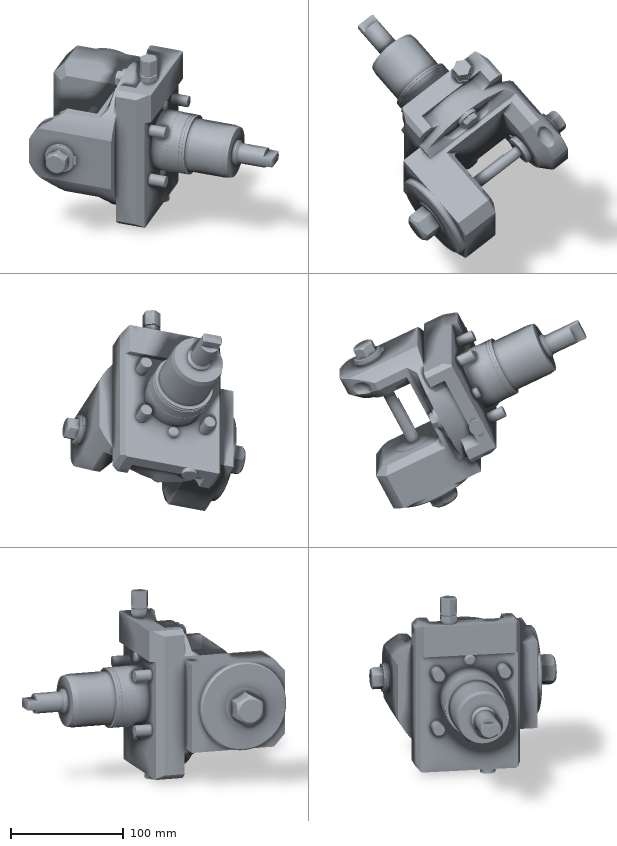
import cadquery as cq
import math


half_height = 40.2
disc_radius = 64.8
fork_outer_y = -60.0
web_face_x = -19.3
step_x = -15.0
disc_face_x = -8.0
arbor_x = -47.5

plate_half_width = 47.5
plate_half_height = 68.2
plate_corner = 4.5
plate_thickness = 26.0
pad_thickness = 31.0
side_bevel_start = 19.0
side_bevel_inset = 5.5
notch_half_width = 34.0
notch_depth_z = 8.5
notch_corner = 10.0
notch_depth_x = 14.0

recess_half_width = 26.0
recess_floor_x = -7.5
recess_bottom_z = 41.3
recess_corner = 9.0
bolt_z = 54.6

big_arm_left = -88.0
big_arm_right = -0.5
big_arm_inner_y = 26.9
big_arm_outer_y = 66.8
end_corner_x = 10.2
end_corner_z = 11.0
inner_bevel_y = 5.5
inner_bevel_face = 9.0
web_fillet = 7.8
cover_clearance = 26.5

small_arm_left = -77.7
small_arm_inner_y = -32.9
small_arm_bevel = 10.2
small_arm_end_radius = 32.6
bolt_pocket_y = -48.0
bolt_pocket_z = 30.2
bolt_pocket_radius = 6.5


def box(x0, x1, y0, y1, z0, z1):
    return cq.Workplane("XY").box(x1 - x0, y1 - y0, z1 - z0, centered=False).translate((x0, y0, z0))


def rod_x(radius, x0, x1, y=0, z=0):
    return cq.Workplane("YZ", origin=(x0, y, z)).circle(radius).extrude(x1 - x0)


def rod_y(radius, y0, y1):
    """Cylinder on the arbor axis."""
    return cq.Workplane("XZ", origin=(arbor_x, y0, 0)).circle(radius).extrude(y0 - y1)


def rod_z(radius, z0, z1, x, y):
    return cq.Workplane("XY", origin=(x, y, z0)).circle(radius).extrude(z1 - z0)


def with_mirror(shape):
    """Shape together with its mirror image below the spindle axis."""
    return shape.union(shape.mirror("XY"))


def hex_prism(plane, origin, across_flats, length, turn):
    """Hexagon standing on a plane, turned by an angle in degrees about its own axis."""
    corner_diameter = across_flats / math.cos(math.radians(30))
    return (cq.Workplane(plane, origin=origin).transformed(rotate=(0, 0, turn))
            .polygon(6, corner_diameter).extrude(length))


def chamfered_hex(plane, origin, across_flats, length, end_face, cone_drop):
    """Hexagon with corners up and down, its free end turned down to a 45 degree cone."""
    corner_radius = across_flats / 2 / math.cos(math.radians(30))
    blank = cq.Workplane(plane, origin=origin).circle(corner_radius).extrude(length)
    blank = blank.faces(end_face).chamfer(cone_drop)
    return hex_prism(plane, origin, across_flats, length, 90).intersect(blank)


def make_plate():
    plate = (cq.Workplane("YZ").rect(2 * plate_half_width, 2 * plate_half_height)
             .extrude(pad_thickness).edges("|X").chamfer(plate_corner))
    plan = (cq.Workplane("XY", origin=(0, 0, -plate_half_height))
            .moveTo(0, plate_half_width)
            .lineTo(side_bevel_start, plate_half_width)
            .lineTo(pad_thickness, plate_half_width - side_bevel_inset)
            .lineTo(pad_thickness, -plate_half_width + side_bevel_inset)
            .lineTo(side_bevel_start, -plate_half_width)
            .lineTo(0, -plate_half_width)
            .close().extrude(2 * plate_half_height))
    plate = plate.intersect(plan)
    plate = plate.cut(box(plate_thickness, pad_thickness, -plate_half_width, plate_half_width,
                          -plate_half_height, half_height))
    base_round = rod_x(disc_radius, 0, notch_depth_x)
    notch_floor_z = plate_half_height - notch_depth_z
    notch_top_z = plate_half_height + notch_corner
    notch = box(0, notch_depth_x, -notch_half_width, notch_half_width, notch_floor_z, notch_top_z)
    notch = notch.edges("|X").edges("<Z").fillet(notch_corner).cut(base_round)
    return plate.cut(with_mirror(notch))


def make_round_base():
    """Round base with the web step and 45 degree shoulders, cut flat on both sides."""
    shoulder_z = half_height + disc_face_x - step_x
    side_profile = (cq.Workplane("XZ", origin=(0, plate_half_width, 0))
                    .moveTo(0, disc_radius)
                    .lineTo(disc_face_x, disc_radius)
                    .lineTo(disc_face_x, shoulder_z)
                    .lineTo(step_x, half_height)
                    .lineTo(web_face_x, half_height)
                    .lineTo(web_face_x, 0)
                    .lineTo(0, 0)
                    .close().extrude(plate_half_width - fork_outer_y))
    base = with_mirror(side_profile).intersect(rod_x(disc_radius, web_face_x, 0))
    recess_top_z = plate_half_height + recess_corner
    recess = box(web_face_x, recess_floor_x, -recess_half_width, recess_half_width,
                 recess_bottom_z, recess_top_z).edges("|X").fillet(recess_corner)
    return base.cut(with_mirror(recess))


def make_big_arm():
    arm = (cq.Workplane("XZ", origin=(0, big_arm_outer_y, 0))
           .moveTo(big_arm_right, half_height)
           .lineTo(big_arm_left + end_corner_x, half_height)
           .lineTo(big_arm_left, half_height - end_corner_z)
           .lineTo(big_arm_left, -half_height + end_corner_z)
           .lineTo(big_arm_left + end_corner_x, -half_height)
           .lineTo(big_arm_right, -half_height)
           .close().extrude(big_arm_outer_y - big_arm_inner_y))
    inner_edges = arm.faces("<Y").edges().filter(lambda edge: edge.Center().x < web_face_x)
    arm = inner_edges.chamfer(inner_bevel_y, inner_bevel_face)
    root_y = big_arm_inner_y - web_fillet
    arc_inset = web_fillet * (1 - math.cos(math.radians(45)))
    fillet = (cq.Workplane("XY", origin=(0, 0, -half_height))
              .moveTo(web_face_x - web_fillet, big_arm_inner_y)
              .threePointArc((web_face_x - arc_inset, big_arm_inner_y - arc_inset), (web_face_x, root_y))
              .lineTo(step_x, root_y)
              .lineTo(step_x, big_arm_inner_y + inner_bevel_y)
              .lineTo(web_face_x - web_fillet, big_arm_inner_y + inner_bevel_y)
              .close().extrude(2 * half_height))
    face_z = half_height - inner_bevel_face
    root_z = face_z - web_fillet * inner_bevel_face / inner_bevel_y
    trim = (cq.Workplane("YZ", origin=(web_face_x - web_fillet, 0, 0))
            .moveTo(big_arm_inner_y + inner_bevel_y, half_height)
            .lineTo(root_y, root_z)
            .lineTo(root_y, -root_z)
            .lineTo(big_arm_inner_y + inner_bevel_y, -half_height)
            .close().extrude(step_x - web_face_x + web_fillet))
    web_end = box(web_face_x, big_arm_right, big_arm_inner_y, plate_half_width, -half_height, half_height)
    fillet = fillet.intersect(trim).cut(rod_y(cover_clearance, root_y, big_arm_inner_y))
    return arm.union(web_end).union(fillet)


def make_small_arm():
    slope = math.acos(small_arm_end_radius / half_height)
    tangent_x = arbor_x - small_arm_end_radius * math.sin(slope)
    tangent_z = small_arm_end_radius * math.cos(slope)
    arm = (cq.Workplane("XZ", origin=(0, small_arm_inner_y, 0))
           .moveTo(web_face_x, half_height)
           .lineTo(arbor_x, half_height)
           .lineTo(tangent_x, tangent_z)
           .threePointArc((arbor_x - small_arm_end_radius, 0), (tangent_x, -tangent_z))
           .lineTo(arbor_x, -half_height)
           .lineTo(web_face_x, -half_height)
           .close().extrude(small_arm_inner_y - fork_outer_y))
    inner_edges = arm.faces(">Y").edges().filter(lambda edge: edge.Center().x < web_face_x - small_arm_bevel)
    arm = inner_edges.chamfer(small_arm_bevel)
    arm = arm.intersect(rod_x(disc_radius, small_arm_left, web_face_x))
    pocket = rod_x(bolt_pocket_radius, small_arm_left, web_face_x, bolt_pocket_y, bolt_pocket_z)
    return arm.cut(with_mirror(pocket))


def make_flange_bolts():
    washer_radius = 9.5
    washer_face_x = -10.7
    head_flats = 13.0
    head_height = 5.3
    head_edge = 1.3
    washer = rod_x(washer_radius, washer_face_x, recess_floor_x, 0, bolt_z)
    head = chamfered_hex("YZ", (washer_face_x, 0, bolt_z), head_flats, -head_height, "<X", head_edge)
    return with_mirror(washer.union(head))


def make_arbor():
    """Arbor across the fork with its key, end nut, bearing cover, bushings and bolt head."""
    shaft_radius = 5.0
    cover_top_y = 72.5
    cover_edge = 1.3
    washer_radius = 17.5
    washer_top_y = 73.5
    nut_top_y = 91.0
    nut_flats = 24.5
    nut_edge = 3.5
    inner_ring_y = 26.5
    bushing_radius = 12.9
    bushing_inner_y = -27.3
    bushing_outer_y = -65.7
    snap_ring_radius = 13.8
    snap_ring_width = 1.0
    snap_ring_starts = (-63.7, -30.9)
    snap_ring_ear_x = 15.3
    snap_ring_ear_z = 4.0
    head_flats = 17.8
    head_edge = 1.8
    head_end_y = -75.5
    key_reach = 6.0
    key_half_width = 1.3
    key_end_y = -15.5

    arbor = rod_y(shaft_radius, bushing_inner_y, big_arm_inner_y)
    arbor = arbor.union(box(arbor_x, arbor_x + key_reach, key_end_y, big_arm_inner_y,
                            -key_half_width, key_half_width))
    arbor = arbor.union(rod_y(washer_radius, inner_ring_y, big_arm_inner_y))
    cover = rod_y(half_height, big_arm_outer_y, cover_top_y).faces(">Y").chamfer(cover_edge)
    arbor = arbor.union(cover).union(rod_y(washer_radius, cover_top_y, washer_top_y))
    arbor = arbor.union(chamfered_hex("XZ", (arbor_x, washer_top_y, 0), nut_flats,
                                      washer_top_y - nut_top_y, ">Y", nut_edge))
    arbor = arbor.union(rod_y(bushing_radius, bushing_outer_y, bushing_inner_y))
    arbor = arbor.union(chamfered_hex("XZ", (arbor_x, bushing_outer_y, 0), head_flats,
                                      bushing_outer_y - head_end_y, "<Y", head_edge))
    for ring_y in snap_ring_starts:
        arbor = arbor.union(rod_y(snap_ring_radius, ring_y, ring_y + snap_ring_width))
        arbor = arbor.union(box(arbor_x, arbor_x + snap_ring_ear_x, ring_y, ring_y + snap_ring_width,
                                -snap_ring_ear_z, snap_ring_ear_z))
    return arbor


def make_spindle():
    """Flange, sleeve, collar and drive shaft turned about X, with a flat drive tang."""
    housing_radius = 27.3
    housing_end = 41.0
    flange_radius = 27.0
    flange_end = 56.8
    sleeve_radius = 24.0
    sleeve_end = 96.5
    sleeve_taper_length = 5.3
    sleeve_taper = 1.0
    collar_radius = 11.3
    collar_end = 101.0
    collar_taper = 2.0
    shaft_radius = 9.0
    shaft_end = 125.5
    tang_end = 134.0
    tang_half_thickness = 4.2
    tang_edge = 0.7
    groove_depth = 0.7
    groove_width = 1.0
    groove_starts = (51.3, 54.2)

    spindle = (cq.Workplane("XY").moveTo(0, 0)
               .lineTo(0, housing_radius)
               .lineTo(housing_end, housing_radius)
               .lineTo(housing_end, flange_radius)
               .lineTo(flange_end, flange_radius)
               .lineTo(flange_end, sleeve_radius)
               .lineTo(sleeve_end - sleeve_taper_length, sleeve_radius)
               .lineTo(sleeve_end, sleeve_radius - sleeve_taper)
               .lineTo(sleeve_end, collar_radius)
               .lineTo(collar_end - collar_taper, collar_radius)
               .lineTo(collar_end, collar_radius - collar_taper)
               .lineTo(collar_end, shaft_radius)
               .lineTo(tang_end - tang_edge, shaft_radius)
               .lineTo(tang_end, shaft_radius - tang_edge)
               .lineTo(tang_end, 0)
               .close().revolve(360, (0, 0, 0), (1, 0, 0)))
    for groove_start in groove_starts:
        groove_end = groove_start + groove_width
        core = rod_x(flange_radius - groove_depth, groove_start, groove_end)
        spindle = spindle.cut(rod_x(housing_radius, groove_start, groove_end).cut(core))
    tang_waste = box(shaft_end, tang_end, -shaft_radius, shaft_radius, tang_half_thickness, shaft_radius)
    return spindle.cut(with_mirror(tang_waste))


def make_back_studs():
    """Four posts around the spindle flange and two short pins on its centre line."""
    post_y = 30.0
    post_z = 25.0
    post_radius = 5.0
    post_end = 41.0
    pin_z = 35.3
    pin_radius = 4.9
    pin_edge = 1.0
    pin = rod_x(pin_radius, side_bevel_start, pad_thickness, 0, pin_z)
    studs = pin.faces(">X").chamfer(pin_edge)
    for y in (post_y, -post_y):
        studs = studs.union(rod_x(post_radius, side_bevel_start, post_end, y, post_z))
    return with_mirror(studs)


def make_coolant_fittings():
    """Hexagon fitting on the top edge of the plate and a plug in the bottom edge."""
    fitting_x = 20.0
    fitting_y = -17.8
    fitting_flats = 14.0
    stem_radius = 6.9
    neck_radius = 5.5
    collar_bottom_z = 70.5
    collar_top_z = 75.0
    cap_bottom_z = 76.5
    cap_top_z = 91.0
    plug_radius = 6.9
    plug_end_z = -72.0
    fittings = rod_z(stem_radius, plate_half_height, collar_bottom_z, fitting_x, fitting_y)
    fittings = fittings.union(rod_z(neck_radius, collar_bottom_z, cap_bottom_z, fitting_x, fitting_y))
    for bottom_z, top_z in ((collar_bottom_z, collar_top_z), (cap_bottom_z, cap_top_z)):
        fittings = fittings.union(hex_prism("XY", (fitting_x, fitting_y, bottom_z), fitting_flats,
                                            top_z - bottom_z, 0))
    return fittings.union(rod_z(plug_radius, plug_end_z, -plate_half_height, fitting_x, -fitting_y))


result = (
    make_plate()
    .union(make_round_base())
    .union(make_big_arm())
    .union(make_small_arm())
    .union(make_flange_bolts())
    .union(make_arbor())
    .union(make_spindle())
    .union(make_back_studs())
    .union(make_coolant_fittings())
)